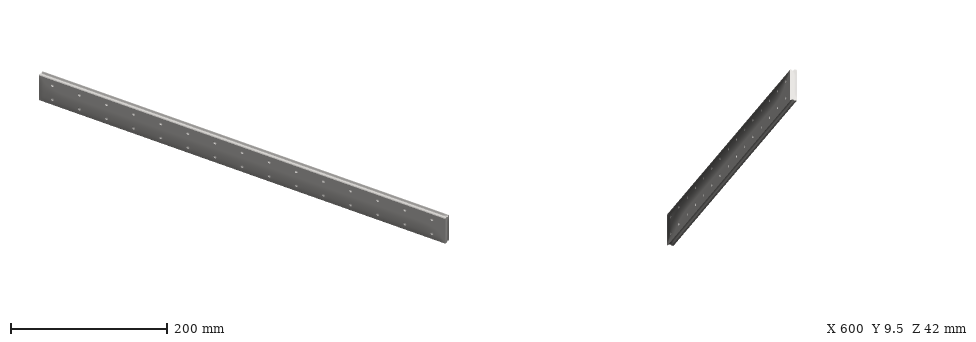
import cadquery as cq
import math

length = 600.0
thickness = 9.5
height = 42.0
edge_chamfer = 0.9

groove_centre_y = 1.0
groove_half_width = 2.2
groove_wall_drop = 1.1

hole_radius = 2.3
hole_count = 15
hole_end_margin = 20.0
hole_row_z = 11.5

half_thickness = thickness / 2
half_height = height / 2
hole_pitch = (length - 2 * hole_end_margin) / (hole_count - 1)


def make_bar():
    """Plain bar with its four long edges chamfered."""
    bar = cq.Workplane("XY").box(length, thickness, height)
    return bar.edges("|X").chamfer(edge_chamfer)


def make_top_groove():
    """Cutter for the groove in the top edge; its bottom arc is tangent to both 45 degree walls."""
    arc_half_width = groove_half_width - groove_wall_drop
    arc_sag = arc_half_width * math.tan(math.radians(45) / 2)
    wall_end_z = half_height - groove_wall_drop
    section = (
        cq.Workplane("YZ")
        .moveTo(groove_centre_y - groove_half_width, half_height)
        .lineTo(groove_centre_y - arc_half_width, wall_end_z)
        .threePointArc(
            (groove_centre_y, wall_end_z - arc_sag),
            (groove_centre_y + arc_half_width, wall_end_z),
        )
        .lineTo(groove_centre_y + groove_half_width, half_height)
        .close()
    )
    return section.extrude(length / 2, both=True)


def make_holes():
    """Cutters for both rows of holes, passing through the thickness."""
    first_x = hole_end_margin - length / 2
    centres = [
        (first_x + i * hole_pitch, z)
        for i in range(hole_count)
        for z in (-hole_row_z, hole_row_z)
    ]
    holes = cq.Workplane("XZ").pushPoints(centres).circle(hole_radius)
    return holes.extrude(half_thickness, both=True)


top_groove = make_top_groove()
bottom_groove = top_groove.mirror("XY")
result = make_bar().cut(top_groove).cut(bottom_groove).cut(make_holes())